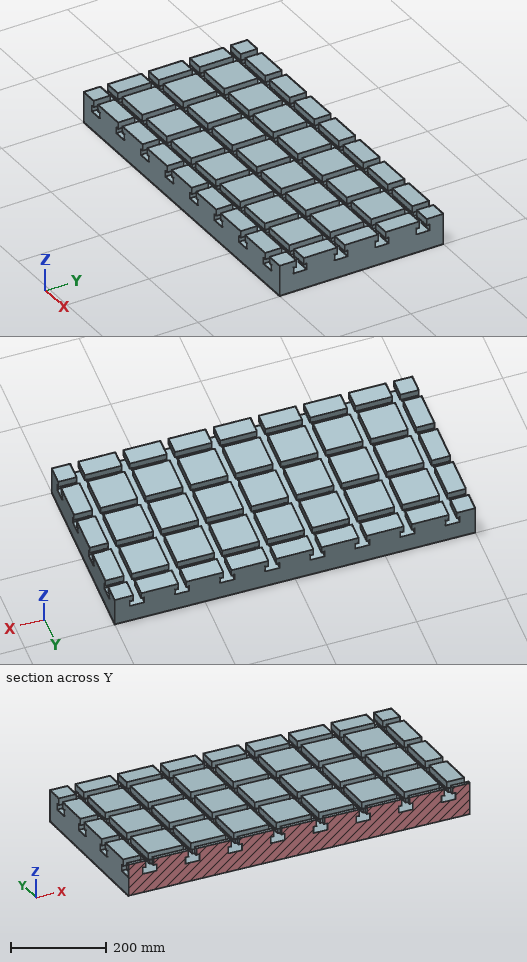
import cadquery as cq

LENGTH = 800.0
WIDTH = 400.0
THICKNESS = 75.0

SLOT_PITCH = 100.0
NECK_WIDTH = 18.0
HEAD_WIDTH = 32.0
HEAD_HEIGHT = 14.0
SLOT_DEPTH = 30.0


def slot_positions(span):
    """Slot centre offsets across a span, with half a pitch left at each edge."""
    count = round(span / SLOT_PITCH)
    return [(i - (count - 1) / 2) * SLOT_PITCH for i in range(count)]


def t_slot_along_y(run):
    """Solid cutter for one T-slot running along Y, centred on the origin in X and Y."""
    slot_floor = THICKNESS - SLOT_DEPTH
    bottom_up = (True, True, False)
    neck = cq.Workplane("XY").box(NECK_WIDTH, run, SLOT_DEPTH, centered=bottom_up)
    head = cq.Workplane("XY").box(HEAD_WIDTH, run, HEAD_HEIGHT, centered=bottom_up)
    return neck.union(head).translate((0, 0, slot_floor))


def cut_slots_along_y(plate):
    cutter = t_slot_along_y(WIDTH)
    for x in slot_positions(LENGTH):
        plate = plate.cut(cutter.translate((x, 0, 0)))
    return plate


def cut_slots_along_x(plate):
    cutter = t_slot_along_y(LENGTH).rotate((0, 0, 0), (0, 0, 1), 90)
    for y in slot_positions(WIDTH):
        plate = plate.cut(cutter.translate((0, y, 0)))
    return plate


plate = cq.Workplane("XY").box(LENGTH, WIDTH, THICKNESS, centered=(True, True, False))
result = cut_slots_along_x(cut_slots_along_y(plate))